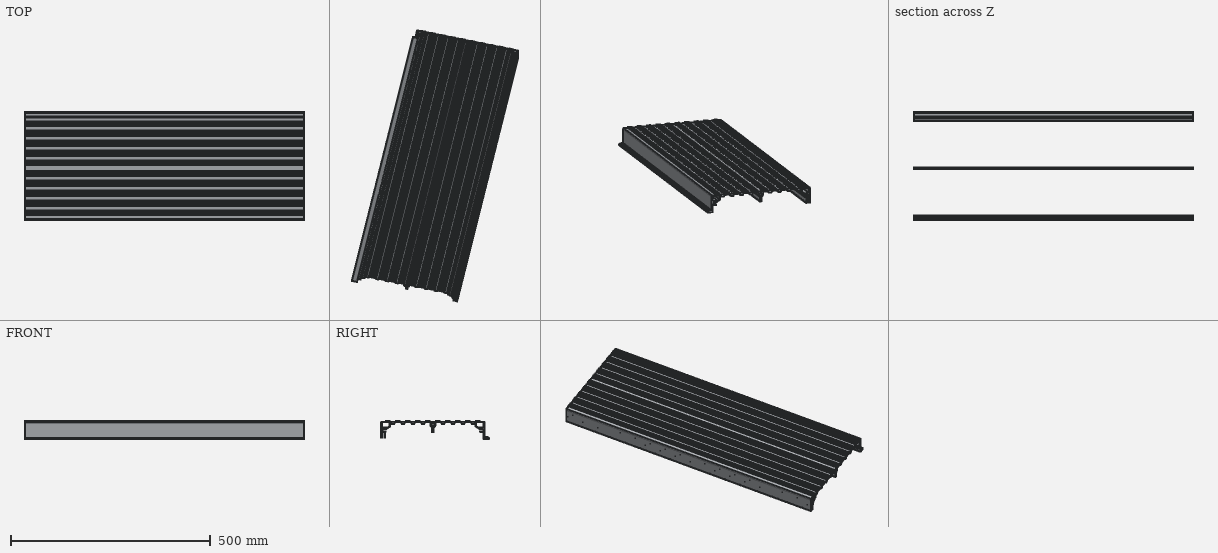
import cadquery as cq

length = 700.0
depth = 260.5
height = 46.0
mid_y = depth / 2

tooth_height = 2.0
tooth_width = 1.5
tooth_pitch = 4.0
teeth_per_group = 3
group_count = 10
edge_to_group = 17.5
deck_thickness = 2.0
deck_top = height - tooth_height
deck_bottom = deck_top - deck_thickness
group_pitch = (depth - 2 * edge_to_group) / (group_count - 1)

rib_top_width = 10.0
rib_bottom_width = 5.5
rib_depth = 4.0
rib_bottom = deck_bottom - rib_depth

wall = 3.5
corner_radius = 3.5
front_wall_bottom = 3.5

web_outer = 24.0
web_thickness = 3.0
web_bottom = 32.0
floor_top = 29.5
floor_end = 16.0

screw_diameter = 7.0
channel_y = 8.0
channel_z = 22.5
channel_diameter = 10.0
channel_end = channel_y + channel_diameter / 2
channel_mouth = 5.0
channel_floor_bottom = 18.0
boss_diameter = 13.0
boss_drop = 5.5
boss_z = deck_bottom - boss_drop

fin_width = 5.0
fin_bottom = 17.5

leg_outer = 10.5
leg_thickness = 3.0

foot_reach = 10.5
foot_thickness = 3.5
foot_radius = 1.5
bead_width = 7.0
bead_height = 2.0


def bar(y_min, y_max, z_min, z_max):
    """Full-length rectangular bar."""
    block = cq.Workplane("XY").box(length, y_max - y_min, z_max - z_min, centered=False)
    return block.translate((0, y_min, z_min))


def prism(points):
    """Full-length prism over a (y, z) outline."""
    return cq.Workplane("YZ").polyline(points).close().extrude(length)


def rod(y, z, diameter):
    """Full-length round rod."""
    return cq.Workplane("YZ").center(y, z).circle(diameter / 2).extrude(length)


def tooth_group(y):
    """Row of rectangular grip teeth centred at y."""
    teeth = cq.Workplane("XY")
    for i in range(teeth_per_group):
        tooth_y = y + (i - (teeth_per_group - 1) / 2) * tooth_pitch
        teeth = teeth.union(bar(tooth_y - tooth_width / 2, tooth_y + tooth_width / 2, deck_bottom, height))
    return teeth


def rib(y):
    """Tapered rib below the deck centred at y."""
    return prism([
        (y - rib_top_width / 2, deck_bottom),
        (y - rib_bottom_width / 2, rib_bottom),
        (y + rib_bottom_width / 2, rib_bottom),
        (y + rib_top_width / 2, deck_bottom),
    ])


def edge_beam():
    """Box beam and open screw channel behind the front wall."""
    web_inner = web_outer - web_thickness
    beam = bar(web_inner, web_outer, web_bottom, deck_top)
    beam = beam.union(prism([
        (0, floor_top),
        (floor_end, floor_top),
        (web_inner, web_bottom),
        (web_outer, web_bottom),
        (channel_end, channel_z + channel_mouth / 2),
        (channel_end, channel_floor_bottom),
        (0, channel_floor_bottom),
    ]))
    beam = beam.union(rod(channel_y, channel_z, channel_diameter))
    beam = beam.cut(rod(channel_y, channel_z, screw_diameter))
    half_mouth = channel_mouth / 2
    return beam.cut(bar(channel_y, web_outer, channel_z - half_mouth, channel_z + half_mouth))


profile = bar(0, depth, deck_bottom, deck_top)
profile = profile.union(bar(0, wall, front_wall_bottom, deck_top))
profile = profile.union(bar(depth - wall, depth, foot_thickness, deck_top))
profile = profile.faces(">Z").edges("|X").fillet(corner_radius)

for i in range(group_count):
    profile = profile.union(tooth_group(edge_to_group + i * group_pitch))
for i in range(group_count - 1):
    profile = profile.union(rib(edge_to_group + (i + 0.5) * group_pitch))

front_beam = edge_beam()
profile = profile.union(front_beam)
profile = profile.union(front_beam.mirror("XZ", (0, mid_y, 0)))

profile = profile.union(bar(leg_outer - leg_thickness, leg_outer, front_wall_bottom, channel_floor_bottom))

profile = profile.union(bar(mid_y - boss_diameter / 2, mid_y + boss_diameter / 2, boss_z, deck_bottom))
profile = profile.union(rod(mid_y, boss_z, boss_diameter))
profile = profile.union(bar(mid_y - fin_width / 2, mid_y + fin_width / 2, fin_bottom, boss_z))
profile = profile.cut(rod(mid_y, boss_z, screw_diameter))

foot = bar(depth - wall, depth + foot_reach, 0, foot_thickness)
foot = foot.edges("|X and (<Z or >Y)").fillet(foot_radius)
profile = profile.union(foot)
profile = profile.union(bar(depth, depth + bead_width, foot_thickness, foot_thickness + bead_height))

result = profile